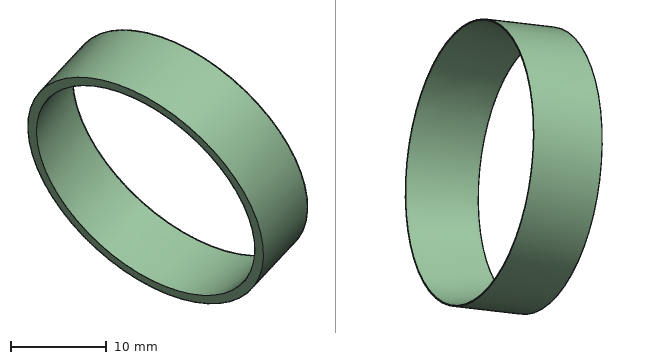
import cadquery as cq

outer_radius = 15.12
ring_width = 8.0
front_wall = 1.12
back_wall = 0.12
lip_width = 0.27

front_y = -ring_width / 2
back_y = ring_width / 2
front_bore_radius = outer_radius - front_wall
back_bore_radius = outer_radius - back_wall

section = (
    cq.Workplane("XY")
    .moveTo(outer_radius, front_y)
    .lineTo(outer_radius, back_y)
    .lineTo(back_bore_radius, back_y)
    .lineTo(back_bore_radius, back_y - lip_width)
    .lineTo(front_bore_radius, front_y + lip_width)
    .lineTo(front_bore_radius, front_y)
    .close()
)

result = section.revolve(360, (0, 0, 0), (0, 1, 0)).rotate((0, 0, 0), (0, 1, 0), -90)